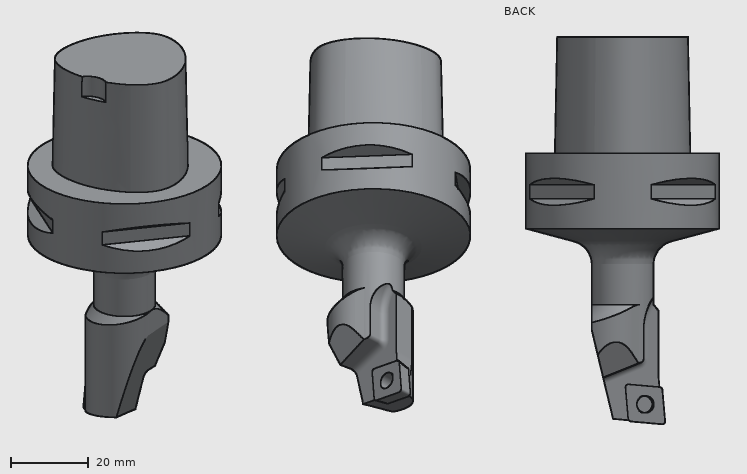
import cadquery as cq
import math

SHANK_LENGTH = 30.0
SHANK_BASE_WIDTH = 35.0
SHANK_TOP_WIDTH = 33.8
SHANK_LOBE = 1.1
SHANK_FLANK_DIRECTIONS = (30, 150, 270)
SHANK_FLANK_HALF_ANGLE = 25.0
CURVE_STEPS = 8

KEY_RADIUS = 4.8
KEY_DEPTH = 5.6
KEY_BOTTOM_Y = -14.0

FLANGE_RADIUS = 25.0
FLANGE_HEIGHT = 19.5
FLANGE_CONE_ANGLE = 15.0
GROOVE_COUNT = 4
GROOVE_Z = -10.0
GROOVE_FLOOR_WIDTH = 3.6
GROOVE_FLOOR_DISTANCE = 22.1
GROOVE_FLANK_ANGLE = 30.0

NECK_RADIUS = 8.0
NECK_FILLET = 6.0

TIP_X = -11.0
TIP_Z = -70.0
HEAD_TOP = -39.1
HEAD_CONE_ANGLE = 50.0
HEAD_BACK_RADIUS = 8.9
HEAD_BACK_CENTER = (NECK_RADIUS - HEAD_BACK_RADIUS, -0.95)
HEAD_BACK_TOP_Y = 1.0
LUG_FLAT_START = (-5.5, 5.8)
LUG_FLAT_END = (-2.3, 8.3)
LUG_PEAK = (3.2, 10.2)
LUG_SIDE_Y = 8.8

RELIEF_ANGLE = 10.0
RELIEF_X = -9.26
RELIEF_END_Z = -57.2
SEAT_TOP_Z = -58.0

BACK_CLEARANCE_ANGLE = 13.5
BACK_CLEARANCE_Z = -45.6
BACK_END_X = 2.6

UNDERSIDE_ANGLE = 6.3
UNDERSIDE_RELIEF_ANGLE = 8.5
UNDERSIDE_SETBACK = 0.1

RAKE_ANGLE = 6.0
GULLET_FLOOR_DEPTH = 6.1
GULLET_FLOOR_TOP_Z = -45.1
GULLET_FLOOR_END_Z = -52.9
GULLET_RUNOUT_RADIUS = 12.0
GULLET_RUNOUT_HEIGHT = 7.6
GULLET_BEND_RADIUS = 1.25
GULLET_RAMP_ANGLE = 22.0
GULLET_FILLET = 1.7

LUG_CORNER = (-4.1, 6.9, -54.2)
LUG_CORNER_NORMAL = (-0.16, 0.91, -0.36)

INSERT_EDGE = 9.67
INSERT_CORNER_ANGLE = 80.0
INSERT_THICKNESS = 3.97
INSERT_CLEARANCE_ANGLE = 7.0
INSERT_NOSE_RADIUS = 0.8
INSERT_HOLE_DIAMETER = 4.4
INSERT_LEAD_ANGLE = 5.0

REACH = 60.0
MARGIN = 0.5


def tan(degrees):
    return math.tan(math.radians(degrees))


def cosine(degrees):
    return math.cos(math.radians(degrees))


def sine(degrees):
    return math.sin(math.radians(degrees))


def shank_point(width, degrees):
    """Point of the lobed outline whose normal has this direction."""
    support = width / 2 - SHANK_LOBE * sine(3 * degrees)
    slope = -3 * SHANK_LOBE * cosine(3 * degrees)
    x = support * cosine(degrees) - slope * sine(degrees)
    y = support * sine(degrees) + slope * cosine(degrees)
    return x, y


def shank_curve(width, start, end, height):
    step = (end - start) / CURVE_STEPS
    points = [
        cq.Vector(*shank_point(width, start + i * step), height)
        for i in range(CURVE_STEPS + 1)
    ]
    tangents = [cq.Vector(-sine(a), cosine(a), 0) for a in (start, end)]
    return cq.Edge.makeSpline(points, tangents=tangents)


def shank_wire(width, height):
    edges = []
    for flank in SHANK_FLANK_DIRECTIONS:
        flank_start = flank - SHANK_FLANK_HALF_ANGLE
        flank_end = flank + SHANK_FLANK_HALF_ANGLE
        next_start = flank_start + 360 / len(SHANK_FLANK_DIRECTIONS)
        edges.append(shank_curve(width, flank_start, flank_end, height))
        edges.append(shank_curve(width, flank_end, next_start, height))
    return cq.Wire.assembleEdges(edges)


def make_shank():
    base = shank_wire(SHANK_BASE_WIDTH, 0)
    top = shank_wire(SHANK_TOP_WIDTH, SHANK_LENGTH)
    shank = cq.Workplane(cq.Solid.makeLoft([base, top], True))
    key = (
        cq.Workplane("XY", origin=(0, KEY_BOTTOM_Y - KEY_RADIUS, SHANK_LENGTH - KEY_DEPTH))
        .circle(KEY_RADIUS)
        .extrude(REACH)
    )
    return shank.cut(key)


def make_flange_and_neck():
    cone_drop = (FLANGE_RADIUS - NECK_RADIUS) * tan(FLANGE_CONE_ANGLE)
    turned = (
        cq.Workplane("XZ")
        .moveTo(0, 0)
        .lineTo(FLANGE_RADIUS, 0)
        .lineTo(FLANGE_RADIUS, -FLANGE_HEIGHT)
        .lineTo(NECK_RADIUS, -FLANGE_HEIGHT - cone_drop)
        .lineTo(NECK_RADIUS, HEAD_TOP)
        .lineTo(0, HEAD_TOP)
        .close()
        .revolve(360, (0, 0, 0), (0, 1, 0))
    )
    near_corner = cq.selectors.BoxSelector(
        (-REACH, -REACH, -FLANGE_HEIGHT - cone_drop - MARGIN),
        (REACH, REACH, -FLANGE_HEIGHT - cone_drop + MARGIN),
        boundingbox=True,
    )
    turned = turned.edges(near_corner).fillet(NECK_FILLET)
    for i in range(GROOVE_COUNT):
        groove = gripper_groove().rotate((0, 0, 0), (0, 0, 1), 45 + i * 360 / GROOVE_COUNT)
        turned = turned.cut(groove)
    return turned


def gripper_groove():
    depth = FLANGE_RADIUS - GROOVE_FLOOR_DISTANCE
    floor_half = GROOVE_FLOOR_WIDTH / 2
    mouth_half = floor_half + depth * tan(GROOVE_FLANK_ANGLE)
    return (
        cq.Workplane("XZ")
        .moveTo(GROOVE_FLOOR_DISTANCE, GROOVE_Z - floor_half)
        .lineTo(FLANGE_RADIUS, GROOVE_Z - mouth_half)
        .lineTo(FLANGE_RADIUS, GROOVE_Z + mouth_half)
        .lineTo(GROOVE_FLOOR_DISTANCE, GROOVE_Z + floor_half)
        .close()
        .extrude(FLANGE_RADIUS, both=True)
    )


def head_blank():
    height = HEAD_TOP - TIP_Z
    below_top = cq.Workplane("XY").box(2 * REACH, REACH, 4 * REACH)
    below_top = below_top.translate((0, HEAD_BACK_TOP_Y - REACH / 2, 0))
    back = (
        cq.Workplane("XY", origin=(0, 0, TIP_Z))
        .center(*HEAD_BACK_CENTER)
        .circle(HEAD_BACK_RADIUS)
        .extrude(height)
        .intersect(below_top)
    )
    lug = (
        cq.Workplane("XY", origin=(0, 0, TIP_Z))
        .moveTo(LUG_FLAT_START[0], 0)
        .lineTo(*LUG_FLAT_START)
        .lineTo(*LUG_FLAT_END)
        .threePointArc(LUG_PEAK, (NECK_RADIUS, LUG_SIDE_Y))
        .lineTo(NECK_RADIUS, HEAD_BACK_CENTER[1])
        .lineTo(LUG_FLAT_START[0], HEAD_BACK_CENTER[1])
        .close()
        .extrude(height)
    )
    core = cq.Workplane("XY", origin=(0, 0, TIP_Z)).circle(NECK_RADIUS).extrude(height)
    return back.union(lug).union(core).intersect(shoulder_cone())


def shoulder_cone():
    reach = REACH / 2
    cone_bottom = HEAD_TOP - (reach - NECK_RADIUS) * tan(HEAD_CONE_ANGLE)
    return (
        cq.Workplane("XZ")
        .moveTo(0, HEAD_TOP)
        .lineTo(NECK_RADIUS, HEAD_TOP)
        .lineTo(reach, cone_bottom)
        .lineTo(reach, cone_bottom - REACH)
        .lineTo(0, cone_bottom - REACH)
        .close()
        .revolve(360, (0, 0, 0), (0, 1, 0))
    )


def relief_cut():
    """Removes what stands in front of the relief flat, and of the leaning side of the seat."""
    blend_radius = (RELIEF_END_Z - SEAT_TOP_Z) / sine(INSERT_LEAD_ANGLE)
    blend_middle_x = RELIEF_X - blend_radius * (1 - cosine(INSERT_LEAD_ANGLE / 2))
    blend_middle_z = RELIEF_END_Z - blend_radius * sine(INSERT_LEAD_ANGLE / 2)
    seat_top_x = RELIEF_X - blend_radius * (1 - cosine(INSERT_LEAD_ANGLE))
    seat_end_x = seat_top_x - tan(INSERT_LEAD_ANGLE) * (SEAT_TOP_Z - TIP_Z)
    cut = (
        cq.Workplane("XZ")
        .moveTo(RELIEF_X, HEAD_TOP + MARGIN)
        .lineTo(RELIEF_X, RELIEF_END_Z)
        .threePointArc((blend_middle_x, blend_middle_z), (seat_top_x, SEAT_TOP_Z))
        .lineTo(seat_end_x, TIP_Z)
        .lineTo(RELIEF_X - REACH, TIP_Z)
        .lineTo(RELIEF_X - REACH, HEAD_TOP + MARGIN)
        .close()
        .extrude(REACH, both=True)
    )
    return cut.rotate((RELIEF_X, 0, 0), (RELIEF_X, 0, 1), RELIEF_ANGLE)


def back_clearance_cut():
    drop = (NECK_RADIUS - BACK_END_X) / tan(BACK_CLEARANCE_ANGLE)
    return (
        cq.Workplane("XZ")
        .moveTo(NECK_RADIUS, BACK_CLEARANCE_Z)
        .lineTo(BACK_END_X, BACK_CLEARANCE_Z - drop)
        .lineTo(BACK_END_X, TIP_Z - MARGIN)
        .lineTo(REACH, TIP_Z - MARGIN)
        .lineTo(REACH, BACK_CLEARANCE_Z)
        .close()
        .extrude(REACH, both=True)
    )


def underside_cut():
    block = cq.Workplane("XY").box(REACH, REACH, REACH).translate((0, 0, -REACH / 2))
    block = block.rotate((0, 0, 0), (0, 1, 0), -UNDERSIDE_ANGLE)
    block = block.rotate((0, 0, 0), (1, 0, 0), -UNDERSIDE_RELIEF_ANGLE)
    return block.translate((TIP_X, 0, TIP_Z + UNDERSIDE_SETBACK))


def gullet():
    """Space above the rake plane, with a runout into the neck and a ramp under the lug."""
    depth = GULLET_FLOOR_DEPTH
    runout = GULLET_RUNOUT_RADIUS
    top_angle = math.degrees(math.asin(GULLET_RUNOUT_HEIGHT / runout))
    top = (depth - runout * (1 - cosine(top_angle)), GULLET_FLOOR_TOP_Z + GULLET_RUNOUT_HEIGHT)
    middle = (
        depth - runout * (1 - cosine(top_angle / 2)),
        GULLET_FLOOR_TOP_Z + runout * sine(top_angle / 2),
    )
    bend = GULLET_BEND_RADIUS
    bend_angle = 90 - GULLET_RAMP_ANGLE
    bend_middle = (
        depth + bend * (1 - cosine(bend_angle / 2)),
        GULLET_FLOOR_END_Z - bend * sine(bend_angle / 2),
    )
    bend_end = (
        depth + bend * (1 - cosine(bend_angle)),
        GULLET_FLOOR_END_Z - bend * sine(bend_angle),
    )
    ramp_end = (REACH / 2, bend_end[1] - (REACH / 2 - bend_end[0]) * tan(GULLET_RAMP_ANGLE))
    cut = (
        cq.Workplane("XZ")
        .moveTo(*top)
        .threePointArc(middle, (depth, GULLET_FLOOR_TOP_Z))
        .lineTo(depth, GULLET_FLOOR_END_Z)
        .threePointArc(bend_middle, bend_end)
        .lineTo(*ramp_end)
        .lineTo(ramp_end[0], TIP_Z - REACH)
        .lineTo(-REACH, TIP_Z - REACH)
        .lineTo(-REACH, top[1])
        .close()
        .extrude(-REACH)
    )
    wall_edges = cq.selectors.BoxSelector(
        (top[0] - MARGIN, -MARGIN, ramp_end[1] - MARGIN),
        (ramp_end[0] + MARGIN, MARGIN, top[1] + MARGIN),
        boundingbox=True,
    )
    cut = cut.edges(wall_edges).fillet(GULLET_FILLET)
    return to_rake_plane(cut)


def to_rake_plane(shape):
    """Moves a shape built with the tip at X = 0 and the rake plane at Y = 0 into place."""
    return shape.rotate((0, 0, 0), (0, 0, 1), RAKE_ANGLE).translate((TIP_X, 0, 0))


def lug_corner_cut():
    plane = cq.Plane(origin=LUG_CORNER, normal=LUG_CORNER_NORMAL)
    return cq.Workplane(plane).rect(REACH, REACH).extrude(REACH)


def insert_blank():
    """Rhombic insert, its nose at the cutting tip and its top face on the rake plane."""
    side = INSERT_LEAD_ANGLE
    bottom = 90 - INSERT_CORNER_ANGLE - INSERT_LEAD_ANGLE
    along_side = cq.Vector(sine(side), cosine(side)) * INSERT_EDGE
    along_bottom = cq.Vector(cosine(bottom), sine(bottom)) * INSERT_EDGE
    to_nose_center = INSERT_NOSE_RADIUS / sine(INSERT_CORNER_ANGLE / 2)
    corner = cq.Vector(
        INSERT_NOSE_RADIUS - to_nose_center * cosine(bottom + INSERT_CORNER_ANGLE / 2),
        TIP_Z + INSERT_NOSE_RADIUS - to_nose_center * sine(bottom + INSERT_CORNER_ANGLE / 2),
    )
    far_corner = corner + along_side + along_bottom
    corners = [corner, corner + along_bottom, far_corner, corner + along_side]
    plate = (
        cq.Workplane("XZ")
        .polyline([(point.x, point.y) for point in corners])
        .close()
        .extrude(INSERT_THICKNESS, taper=INSERT_CLEARANCE_ANGLE)
        .edges("not(<Y or >Y)")
        .fillet(INSERT_NOSE_RADIUS)
    )
    center = (corner + far_corner) * 0.5
    return to_rake_plane(plate), (center.x, center.y)


def make_insert():
    plate, center = insert_blank()
    hole = cq.Workplane("XZ").center(*center).circle(INSERT_HOLE_DIAMETER / 2).extrude(REACH, both=True)
    return plate.cut(to_rake_plane(hole))


def make_holder():
    head = head_blank().cut(relief_cut()).cut(back_clearance_cut()).cut(underside_cut())
    head = head.cut(lug_corner_cut())
    holder = make_shank().union(make_flange_and_neck()).union(head).cut(gullet())
    seat, _ = insert_blank()
    return holder.cut(seat)


holder = make_holder()
insert = make_insert()
result = cq.Compound.makeCompound([holder.val(), insert.val()])